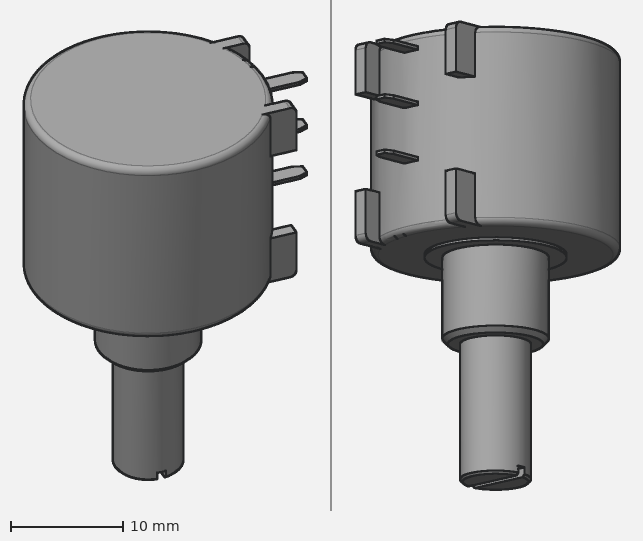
import cadquery as cq

total_height = 39.22
total_depth = 26.25

body_diameter = 22.25
body_height = 18.3
body_edge_radius = 0.63
body_radius = body_diameter / 2

pad_diameter = 12.7
pad_thickness = 0.27
bushing_diameter = 9.55
bushing_length = 8.25
bushing_chamfer = 0.5
shaft_diameter = 6.35
shaft_length = total_height - body_height - bushing_length
shaft_chamfer = 0.25
slot_width = 0.82
slot_depth = 0.85

tab_thickness = 1.25
tab_spacing = 11.0
tab_height = 4.7
tab_reach = 11.8
tab_root = 5.9
tab_edge_radius = 0.63

pin_width = 1.65
pin_thickness = 0.3
pin_reach = total_depth - body_radius
pin_root = 9.8
pin_tip_width = 1.02
pin_tip_length = 0.82
pin_pitch = 5.1
pin_count = 3
top_pin_drop = 1.5


def make_body():
    body = cq.Workplane("XY").circle(body_radius).extrude(body_height)
    return body.edges("%CIRCLE").fillet(body_edge_radius)


def make_shaft_assembly():
    pad = cq.Workplane("XY").circle(pad_diameter / 2).extrude(-pad_thickness)
    bushing = cq.Workplane("XY").circle(bushing_diameter / 2).extrude(-bushing_length)
    bushing = bushing.faces("<Z").chamfer(bushing_chamfer)
    shaft = (
        cq.Workplane("XY", origin=(0, 0, -bushing_length))
        .circle(shaft_diameter / 2)
        .extrude(-shaft_length)
    )
    shaft = shaft.faces("<Z").chamfer(shaft_chamfer)
    shaft_end = -bushing_length - shaft_length
    slot = (
        cq.Workplane("XY", origin=(0, 0, shaft_end))
        .rect(shaft_diameter, slot_width)
        .extrude(slot_depth)
    )
    return pad.union(bushing).union(shaft.cut(slot))


def make_tab(x, bottom, rounded_edge):
    """Plate parallel to the YZ plane with one rounded outer corner, chosen by edge selector."""
    tab = cq.Workplane("XY").box(
        tab_thickness, tab_reach - tab_root, tab_height, centered=(True, False, False)
    )
    tab = tab.faces(">Y").edges(rounded_edge).fillet(tab_edge_radius)
    return tab.translate((x, tab_root, bottom))


def make_pin(z):
    shoulder = pin_reach - pin_tip_length
    return (
        cq.Workplane("XY", origin=(0, 0, z - pin_thickness / 2))
        .moveTo(-pin_width / 2, pin_root)
        .lineTo(pin_width / 2, pin_root)
        .lineTo(pin_width / 2, shoulder)
        .lineTo(pin_tip_width / 2, pin_reach)
        .lineTo(-pin_tip_width / 2, pin_reach)
        .lineTo(-pin_width / 2, shoulder)
        .close()
        .extrude(pin_thickness)
    )


result = make_body().union(make_shaft_assembly())
for side in (-1, 1):
    tab_x = side * tab_spacing / 2
    result = result.union(make_tab(tab_x, body_height - tab_height, ">Z"))
    result = result.union(make_tab(tab_x, 0, "<Z"))
for index in range(pin_count):
    result = result.union(make_pin(body_height - top_pin_drop - index * pin_pitch))